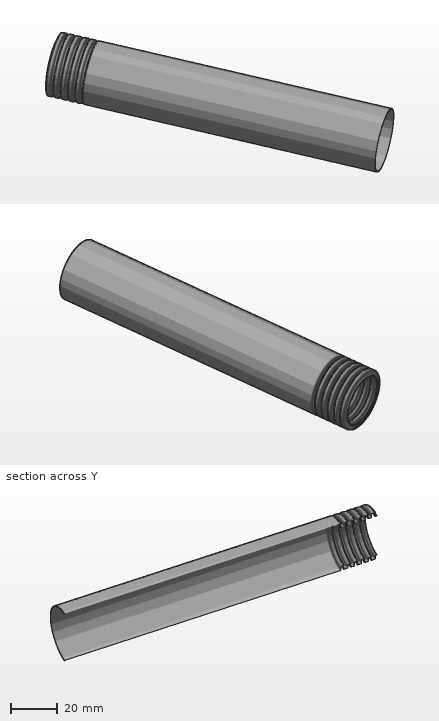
import cadquery as cq

LENGTH = 150.0
OUTER_DIAMETER = 28.5
WALL = 0.4

VALLEY_OUTER_DIAMETER = 23.8
CREST_COUNT = 5
PITCH = 3.3
VALLEY_GAP = 1.15

TIGHT_BEND_RADIUS = 0.2
WIDE_BEND_RADIUS = 0.45

MATCH_TOLERANCE = 0.001

outer_radius = OUTER_DIAMETER / 2
bore_radius = outer_radius - WALL
valley_outer_radius = VALLEY_OUTER_DIAMETER / 2
valley_bore_radius = valley_outer_radius - WALL
crest_width = PITCH - VALLEY_GAP
first_crest_start = VALLEY_GAP / 2
tube_start = first_crest_start + CREST_COUNT * PITCH
end_face_x = (0, LENGTH)


def cylinder(start, end, radius):
    """Solid cylinder on the X axis between two X positions."""
    return cq.Workplane("YZ", origin=(start, 0, 0)).circle(radius).extrude(end - start)


def round_circles(body, circle_radius, bend_radius):
    """Fillet every circular edge of the given radius, except those on the two end faces."""

    def is_bend(edge):
        on_end_face = any(abs(edge.Center().x - x) < MATCH_TOLERANCE for x in end_face_x)
        return abs(edge.radius() - circle_radius) < MATCH_TOLERANCE and not on_end_face

    return body.edges("%CIRCLE").filter(is_bend).fillet(bend_radius)


def bellows_shape(valley_radius, crest_radius, inset, valley_bend, crest_bend):
    """Solid of revolution with crests and tube, each side wall moved inward by the inset."""
    body = cylinder(0, tube_start + inset, valley_radius)
    for index in range(CREST_COUNT):
        start = first_crest_start + index * PITCH
        body = body.union(cylinder(start + inset, start + crest_width - inset, crest_radius))
    body = body.union(cylinder(tube_start + inset, LENGTH, crest_radius))
    body = round_circles(body, valley_radius, valley_bend)
    return round_circles(body, crest_radius, crest_bend)


outside = bellows_shape(
    valley_outer_radius, outer_radius, 0, TIGHT_BEND_RADIUS, WIDE_BEND_RADIUS
)
cavity = bellows_shape(
    valley_bore_radius, bore_radius, WALL, WIDE_BEND_RADIUS, TIGHT_BEND_RADIUS
)

result = outside.cut(cavity).translate((-LENGTH / 2, 0, 0))